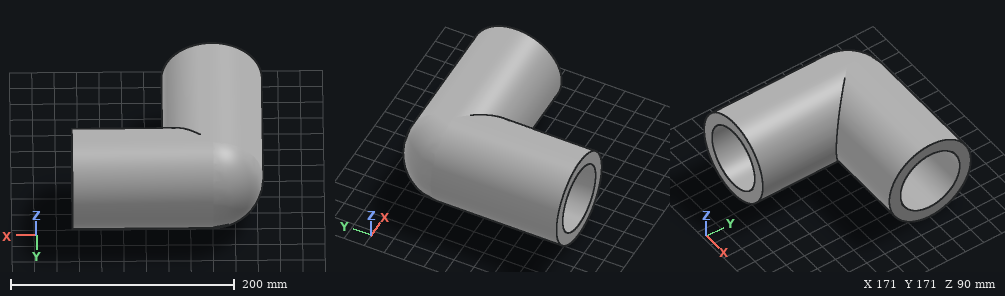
import cadquery as cq

overall_length = 171.0
outer_diameter = 90.0
bore_diameter = 65.3

outer_radius = outer_diameter / 2
bore_radius = bore_diameter / 2
leg_length = overall_length - outer_radius


def elbow_body(radius):
    """Two perpendicular round legs, along +X and -Y, joined by a ball at the origin."""
    x_leg = cq.Workplane("YZ").circle(radius).extrude(leg_length)
    y_leg = cq.Workplane("XZ").circle(radius).extrude(leg_length)
    corner = cq.Workplane("XY").sphere(radius)
    return x_leg.union(y_leg).union(corner)


result = elbow_body(outer_radius).cut(elbow_body(bore_radius))